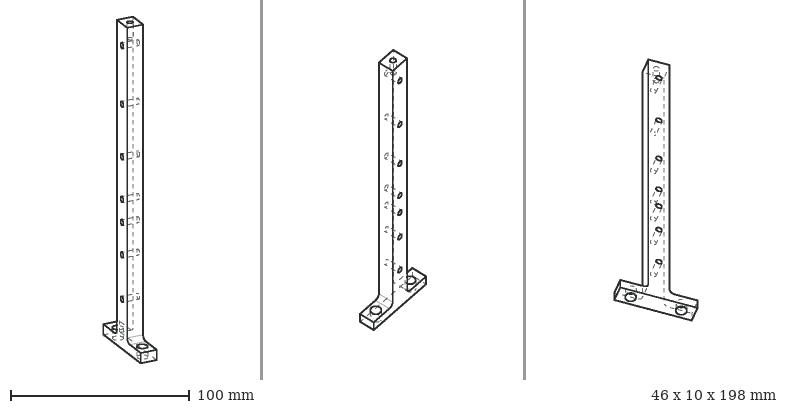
import cadquery as cq
import math

foot_length = 46.0
thickness = 10.0
foot_height = 6.3
mount_hole_diameter = 6.1
mount_hole_spacing = 30.0

total_height = 198.0
bar_width = 12.7
root_fillet = 3.0

small_hole_diameter = 3.4
cross_hole_heights = [30.3, 57.2, 77.0, 91.0, 117.0, 149.0, 184.7]
end_hole_depth = 9.9
drill_point_angle = 118


def make_body():
    """Inverted T: a flat foot with a bar standing on it, filleted at the root."""
    foot = cq.Workplane("XY").box(foot_length, thickness, foot_height, centered=(True, True, False))
    bar = cq.Workplane("XY").box(bar_width, thickness, total_height, centered=(True, True, False))
    half_bar = bar_width / 2
    root_edges = cq.selectors.BoxSelector(
        (-half_bar - root_fillet, -thickness, foot_height - root_fillet / 2),
        (half_bar + root_fillet, thickness, foot_height + root_fillet / 2),
    )
    return foot.union(bar).edges("|Y").edges(root_edges).fillet(root_fillet)


def make_mount_holes():
    """Vertical clearance holes through both ends of the foot."""
    half_spacing = mount_hole_spacing / 2
    return (
        cq.Workplane("XY")
        .pushPoints([(-half_spacing, 0), (half_spacing, 0)])
        .circle(mount_hole_diameter / 2)
        .extrude(foot_height)
    )


def make_cross_holes():
    """Row of holes through the thickness of the bar, on its centre line."""
    return (
        cq.Workplane("XZ")
        .pushPoints([(0, height) for height in cross_hole_heights])
        .circle(small_hole_diameter / 2)
        .extrude(thickness, both=True)
    )


def make_end_hole():
    """Blind drilled hole with a conical tip in the centre of the top end."""
    radius = small_hole_diameter / 2
    shoulder_height = total_height - end_hole_depth
    tip_length = radius / math.tan(math.radians(drill_point_angle / 2))
    return (
        cq.Workplane("XZ")
        .moveTo(0, total_height)
        .lineTo(radius, total_height)
        .lineTo(radius, shoulder_height)
        .lineTo(0, shoulder_height - tip_length)
        .close()
        .revolve(360, (0, 0, 0), (0, 1, 0))
    )


result = make_body().cut(make_mount_holes()).cut(make_cross_holes()).cut(make_end_hole())